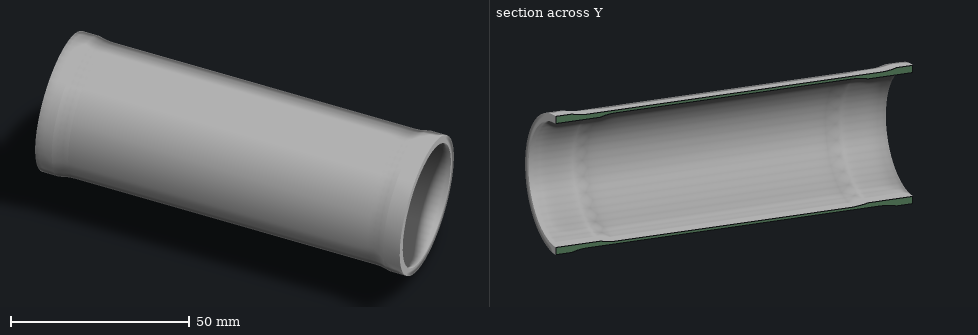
import cadquery as cq
import math

length = 110.0
collar_diameter = 41.07
collar_length = 5.0
body_diameter = 39.7
end_bore_diameter = 36.5
end_bore_length = 13.8
middle_bore_diameter = 37.8
blend_radius = 16.5


def stepped_cylinder(end_diameter, middle_diameter, end_length):
    """Solid of revolution about X: cylindrical ends, arc blends tangent to a cylindrical middle."""
    half_length = length / 2
    end_radius = end_diameter / 2
    middle_radius = middle_diameter / 2
    step = end_radius - middle_radius
    blend_angle = math.acos(1 - abs(step) / blend_radius)
    end_start_x = half_length - end_length
    middle_half_length = end_start_x - blend_radius * math.sin(blend_angle)

    halfway_x = middle_half_length + blend_radius * math.sin(blend_angle / 2)
    halfway_step = math.copysign(blend_radius * (1 - math.cos(blend_angle / 2)), step)
    halfway_radius = middle_radius + halfway_step

    return (
        cq.Workplane("XZ")
        .moveTo(-half_length, 0)
        .lineTo(-half_length, end_radius)
        .lineTo(-end_start_x, end_radius)
        .threePointArc((-halfway_x, halfway_radius), (-middle_half_length, middle_radius))
        .lineTo(middle_half_length, middle_radius)
        .threePointArc((halfway_x, halfway_radius), (end_start_x, end_radius))
        .lineTo(half_length, end_radius)
        .lineTo(half_length, 0)
        .close()
        .revolve(360, (0, 0, 0), (1, 0, 0))
    )


outside = stepped_cylinder(collar_diameter, body_diameter, collar_length)
bore = stepped_cylinder(end_bore_diameter, middle_bore_diameter, end_bore_length)
result = outside.cut(bore)